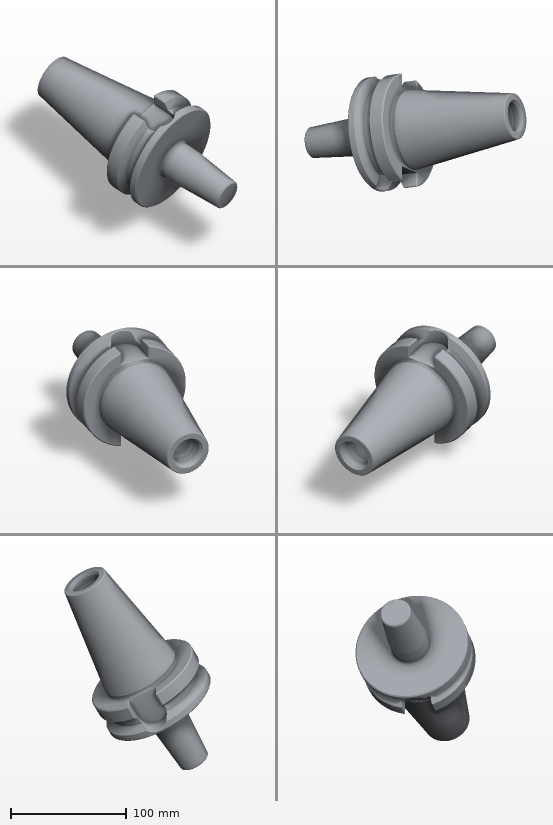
import cadquery as cq
import math

total_length = 201.8

gauge_radius = 35.0
taper_length = 101.1
taper_slope = 7 / 48
taper_end_chamfer = 0.6
relief_radius = 34.3
relief_step = 1.0
relief_fillet = 1.2

flange_radius = 50.0
front_rim_radius = 49.6
flange_start = 104.7
flange_end = 139.2
flange_chamfer = 1.0
groove_radius = 42.4
groove_rim_start = 117.5
groove_floor_start = 121.7
groove_floor_end = 128.1
groove_rim_end = groove_floor_end + (flange_radius - groove_radius) * math.tan(math.radians(30))

nose_radius = 17.0
nose_fillet = 2.2
nose_taper_start = 157.0
nose_end_radius = 13.5
nose_chamfer = 1.0

slot_half_width = 13.1
slot_floor = 35.3
slot_end = 136.0
slot_edge_chamfer = 1.0

bore_mouth_radius = 14.5
bore_mouth_depth = 3.0
pilot_radius = 12.5
pilot_end = 9.3
thread_radius = 12.0
thread_start = 9.9
thread_end = 13.1
core_radius = 10.3
core_start = 15.7
core_end = 44.4
tip_half_angle = 59


def make_body():
    """Revolve the complete outside outline about X."""
    small_radius = gauge_radius - taper_length * taper_slope
    relief_middle = relief_fillet * (1 - math.sqrt(0.5))
    fillet_middle = nose_fillet * (1 - math.sqrt(0.5))
    return (
        cq.Workplane("XY")
        .lineTo(0, small_radius - taper_end_chamfer)
        .lineTo(taper_end_chamfer, small_radius + taper_end_chamfer * taper_slope)
        .lineTo(taper_length, gauge_radius)
        .lineTo(taper_length + relief_step, relief_radius)
        .lineTo(flange_start - relief_fillet, relief_radius)
        .threePointArc(
            (flange_start - relief_middle, relief_radius + relief_middle),
            (flange_start, relief_radius + relief_fillet),
        )
        .lineTo(flange_start, front_rim_radius - flange_chamfer)
        .lineTo(flange_start + flange_chamfer, front_rim_radius)
        .lineTo(groove_rim_start, front_rim_radius)
        .lineTo(groove_floor_start, groove_radius)
        .lineTo(groove_floor_end, groove_radius)
        .lineTo(groove_rim_end, flange_radius)
        .lineTo(flange_end - flange_chamfer, flange_radius)
        .lineTo(flange_end, flange_radius - flange_chamfer)
        .lineTo(flange_end, nose_radius + nose_fillet)
        .threePointArc(
            (flange_end + fillet_middle, nose_radius + fillet_middle),
            (flange_end + nose_fillet, nose_radius),
        )
        .lineTo(nose_taper_start, nose_radius)
        .lineTo(total_length - nose_chamfer, nose_end_radius)
        .lineTo(total_length, nose_end_radius - nose_chamfer)
        .lineTo(total_length, 0)
        .close()
        .revolve(360, (0, 0, 0), (1, 0, 0))
    )


def make_bore():
    """Revolve the chamfered, stepped bore with its conical bottom."""
    tip_depth = core_end + core_radius / math.tan(math.radians(tip_half_angle))
    return (
        cq.Workplane("XY")
        .lineTo(0, bore_mouth_radius)
        .lineTo(bore_mouth_depth, pilot_radius)
        .lineTo(pilot_end, pilot_radius)
        .lineTo(thread_start, thread_radius)
        .lineTo(thread_end, thread_radius)
        .lineTo(core_start, core_radius)
        .lineTo(core_end, core_radius)
        .lineTo(tip_depth, 0)
        .close()
        .revolve(360, (0, 0, 0), (1, 0, 0))
    )


def make_slot():
    """Build the upper round-ended slot cutter, flared at its open end."""
    arc_center = slot_end - slot_half_width
    return (
        cq.Workplane("XY", origin=(0, 0, slot_floor))
        .moveTo(flange_start, -slot_half_width - slot_edge_chamfer)
        .lineTo(flange_start + slot_edge_chamfer, -slot_half_width)
        .lineTo(arc_center, -slot_half_width)
        .threePointArc((slot_end, 0), (arc_center, slot_half_width))
        .lineTo(flange_start + slot_edge_chamfer, slot_half_width)
        .lineTo(flange_start, slot_half_width + slot_edge_chamfer)
        .close()
        .extrude(flange_radius)
    )


def is_slot_rim(edge):
    """Tell whether an edge is a slot's outer edge on a flange rim."""
    tolerance = 0.02
    flared_end = flange_start + slot_edge_chamfer + tolerance
    middle = edge.positionAt(0.5)
    mouth_radius = math.hypot(middle.y, middle.z)
    in_slot = abs(middle.y) < slot_half_width + tolerance and abs(middle.z) > slot_floor + tolerance
    beside_front_rim = flared_end < middle.x < groove_rim_start
    on_front_rim = beside_front_rim and abs(mouth_radius - front_rim_radius) < tolerance
    on_rear_rim = middle.x < slot_end + tolerance and abs(mouth_radius - flange_radius) < tolerance
    return in_slot and (on_front_rim or on_rear_rim)


body = make_body().cut(make_bore())
slot = make_slot()
for angle in (0, 180):
    body = body.cut(slot.rotate((0, 0, 0), (1, 0, 0), angle))

slot_rims = [edge for edge in body.edges().vals() if is_slot_rim(edge)]
result = body.newObject(slot_rims).chamfer(slot_edge_chamfer)